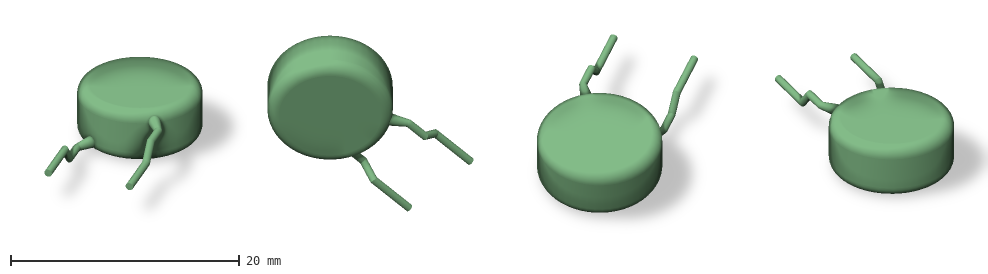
import cadquery as cq
import math

housing_diameter = 11.0
housing_height = 5.0
housing_edge_radius = 1.0

wire_radius = 0.35
lead_offset = 3.76
lead_level = 1.5
lead_tip_y = housing_diameter / 2 - 19.3
crank_start_y = -8.03
crank_end_y = -9.32

elbow_y = -6.1
elbow_angle = 31.0
elbow_radius = 0.39
cone_length = 2.5
cone_taper = 7.5
upper_stub_length = 0.29


def make_housing():
    return (
        cq.Workplane("XY", origin=(0, 0, -housing_height / 2))
        .circle(housing_diameter / 2)
        .extrude(housing_height)
        .faces("|Z")
        .edges()
        .fillet(housing_edge_radius)
    )


def make_cylinder(start, end, radius):
    axis = end - start
    return cq.Workplane(cq.Solid.makeCylinder(radius, axis.Length, start, axis))


def make_sleeve(side, level, stub_length, housing):
    """Cone, elbow and optional stub; side is -1 for left and +1 for right."""
    elbow_start = cq.Vector(side * lead_offset, elbow_y, level)
    angle = math.radians(elbow_angle)

    section = cq.Workplane(cq.Plane(elbow_start, xDir=(1, 0, 0), normal=(0, -1, 0)))
    sleeve = section.circle(wire_radius).revolve(
        elbow_angle, (-side * elbow_radius, 0), (-side * elbow_radius, side)
    )

    cone_start = elbow_start + cq.Vector(
        -side * elbow_radius * (1 - math.cos(angle)), elbow_radius * math.sin(angle), 0
    )
    cone_axis = cq.Vector(-side * math.sin(angle), math.cos(angle), 0)
    root_radius = wire_radius + cone_length * math.tan(math.radians(cone_taper))
    cone = cq.Solid.makeCone(wire_radius, root_radius, cone_length, cone_start, cone_axis)
    sleeve = sleeve.union(cq.Workplane(cone))

    if stub_length > 0:
        stub_end = elbow_start - cq.Vector(0, stub_length, 0)
        sleeve = sleeve.union(make_cylinder(elbow_start, stub_end, wire_radius))

    return sleeve.cut(housing)


def make_lead(side, level, stub_length):
    """Wire cranked from its level to the mid plane, with mitred corners."""
    x = side * lead_offset
    start_y = elbow_y - stub_length
    path = (
        cq.Workplane(cq.Plane((x, 0, 0), xDir=(0, 1, 0), normal=(1, 0, 0)))
        .moveTo(start_y, level)
        .lineTo(crank_start_y, level)
        .lineTo(crank_end_y, 0)
        .lineTo(lead_tip_y, 0)
    )
    section = cq.Workplane(cq.Plane((x, start_y, level), xDir=(1, 0, 0), normal=(0, -1, 0)))
    return section.circle(wire_radius).sweep(path, transition="right")


housing = make_housing()

terminals = [(-1, -lead_level, 0), (1, lead_level, upper_stub_length)]
sleeves = []
leads = []
for side, level, stub_length in terminals:
    sleeves.append(make_sleeve(side, level, stub_length, housing).val())
    leads.append(make_lead(side, level, stub_length).val())

result = cq.Compound.makeCompound([housing.val(), *sleeves, *leads])